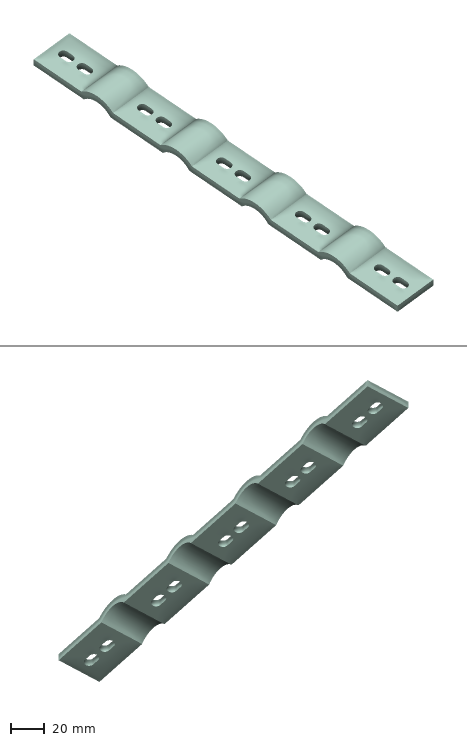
import cadquery as cq
import math

length = 297.5
width = 30.3
thickness = 5.0

saddle_count = 4
saddle_pitch = 64.5
saddle_height = 2 * thickness
outer_radius = 19.0
inner_radius = outer_radius - thickness
arch_center_z = saddle_height - outer_radius

slots_per_pad = 2
slot_length = 11.0
slot_width = 6.2
slot_spacing = 15.2


def centered_positions(count, pitch):
    """X positions of evenly pitched features, symmetric about the origin."""
    return [(i - (count - 1) / 2) * pitch for i in range(count)]


def half_chord(radius, z):
    """Half the width of an arch of the given radius at height z."""
    return math.sqrt(radius**2 - (z - arch_center_z) ** 2)


def arched_line(profile, saddle_centers, radius, base_z, direction):
    """Continue the profile at base_z over each saddle; direction is +1 or -1 along X."""
    reach = direction * half_chord(radius, base_z)
    crest_z = arch_center_z + radius
    for x in saddle_centers:
        profile = profile.lineTo(x - reach, base_z).threePointArc((x, crest_z), (x + reach, base_z))
    return profile.lineTo(direction * length / 2, base_z)


def strip():
    """Flat strip of even thickness that rises over concentric arches."""
    saddle_centers = centered_positions(saddle_count, saddle_pitch)
    profile = cq.Workplane("XZ").moveTo(-length / 2, 0)
    profile = arched_line(profile, saddle_centers, inner_radius, 0, 1)
    profile = profile.lineTo(length / 2, thickness)
    profile = arched_line(profile, saddle_centers[::-1], outer_radius, thickness, -1)
    return profile.close().extrude(width / 2, both=True)


def slots():
    """Cutters for the slots, which pass through the pads."""
    centers = [
        (pad_x + offset, 0)
        for pad_x in centered_positions(saddle_count + 1, saddle_pitch)
        for offset in centered_positions(slots_per_pad, slot_spacing)
    ]
    return cq.Workplane("XY").pushPoints(centers).slot2D(slot_length, slot_width).extrude(thickness)


result = strip().cut(slots())